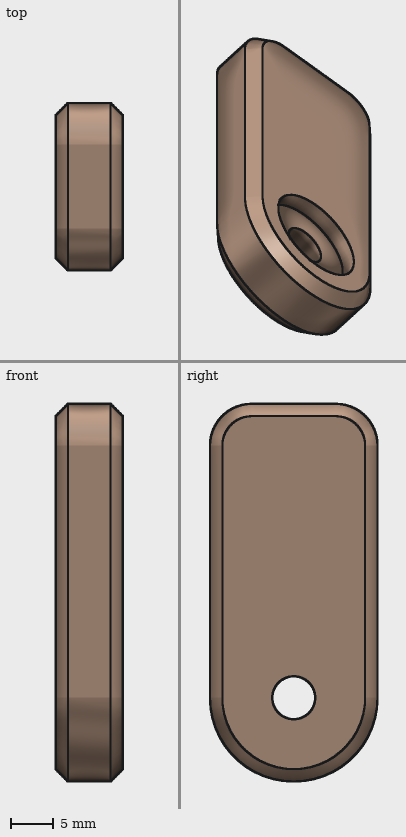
import cadquery as cq

thickness = 8.0
width = 20.0
height = 45.0

end_radius = width / 2
corner_radius = 5.0
edge_chamfer = 1.5

hole_diameter = 5.1
recess_diameter = 12.0
recess_depth = 2.0

top_z = height - end_radius


def make_body():
    """Round-ended tab with rounded upper corners and chamfered rims."""
    outline = (
        cq.Workplane("YZ")
        .workplane(offset=-thickness / 2)
        .moveTo(-end_radius, 0)
        .threePointArc((0, -end_radius), (end_radius, 0))
        .lineTo(end_radius, top_z)
        .lineTo(-end_radius, top_z)
        .close()
    )
    body = outline.extrude(thickness)
    body = body.edges("|X and >Z").fillet(corner_radius)
    return body.faces("<X or >X").chamfer(edge_chamfer)


def cut_stepped_hole(body):
    """Through hole with a flat-bottomed recess in the -X face."""
    return (
        body.faces("<X")
        .workplane(origin=(0, 0, 0))
        .cboreHole(hole_diameter, recess_diameter, recess_depth)
    )


result = cut_stepped_hole(make_body())